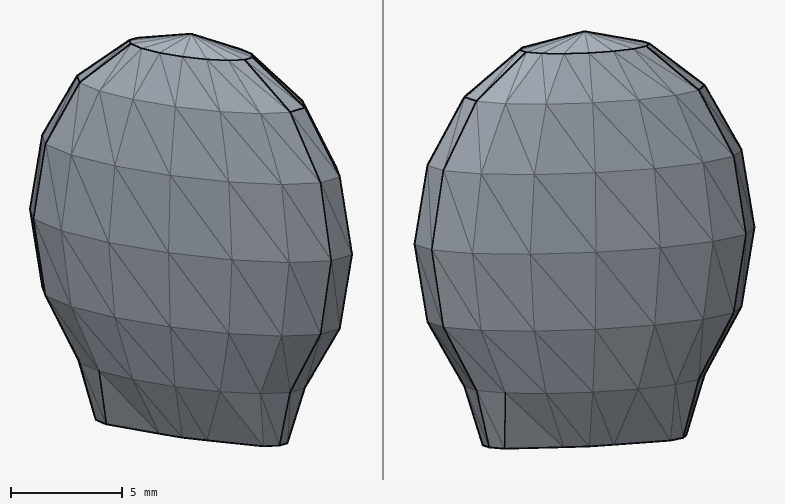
import cadquery as cq
import math

width = 15.48
thickness = 5.59
height = 19.0

meridians = 16
bands = 8

foot_spread = 1.67
lowest_ring = bands - 1


def ring_points(ring):
    """Corners of one horizontal ring, counter-clockwise seen from above."""
    polar_angle = math.pi * ring / bands
    radius_x = width / 2 * math.sin(polar_angle)
    radius_y = thickness / 2 * math.sin(polar_angle)
    z = height / 2 * math.cos(polar_angle)
    points = []
    for i in range(meridians):
        angle = 2 * math.pi * i / meridians
        points.append(cq.Vector(radius_x * math.cos(angle), radius_y * math.sin(angle), z))
    return points


def foot_points():
    """Corners of the flat base: the two ends move outward, the middle corners stay in place."""
    end_reach = meridians // 8
    points = []
    for i, point in enumerate(ring_points(lowest_ring)):
        steps_from_right = min(i, meridians - i)
        steps_from_left = abs(i - meridians // 2)
        shift = 0.0
        if steps_from_right <= end_reach:
            shift = foot_spread
        elif steps_from_left <= end_reach:
            shift = -foot_spread
        points.append(cq.Vector(point.x + shift, point.y, -height / 2))
    return points


def flat_face(corners):
    return cq.Face.makeFromWires(cq.Wire.makePolygon(corners, close=True))


def cap_faces(ring):
    """Triangles from the top point down to the first ring."""
    top = cq.Vector(0, 0, height / 2)
    return [flat_face([top, ring[i - 1], ring[i]]) for i in range(meridians)]


def band_faces(upper, lower):
    """Two triangles per cell, split from the upper corner to the next lower corner."""
    faces = []
    for i in range(meridians):
        faces.append(flat_face([upper[i - 1], lower[i - 1], lower[i]]))
        faces.append(flat_face([upper[i - 1], lower[i], upper[i]]))
    return faces


rings = [ring_points(ring) for ring in range(1, lowest_ring)]
rings.append(foot_points())

faces = cap_faces(rings[0])
for upper, lower in zip(rings, rings[1:]):
    faces += band_faces(upper, lower)
faces.append(flat_face(rings[-1][::-1]))

result = cq.Workplane(cq.Solid.makeSolid(cq.Shell.makeShell(faces)))